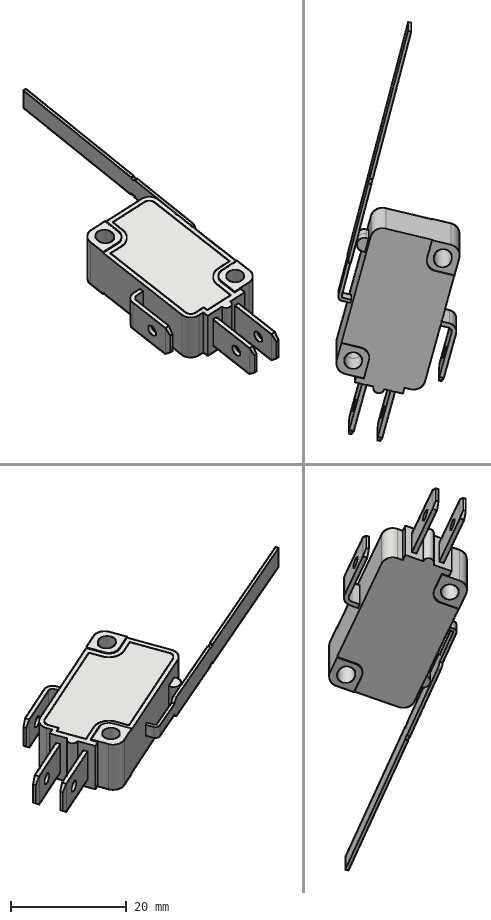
import cadquery as cq
import math


body_length = 27.8
body_width = 15.8
body_height = 10.3
body_corner_radius = 2.1

hole_diameter = 3.1
hole_inset = 2.8
slot_extra_length = 0.3
pad_size = 5.4
pad_corner_radius = 1.95
pad_rise = 0.2

rim_width = 0.9
panel_depth = 0.1
panel_corner_radius = body_corner_radius - rim_width
panel_opening_start = 4.05

flange_start = 3.15
flange_end = 11.8
flange_thickness = 1.1
rib_radius = 1.0

blade_thickness = 0.8
blade_width = 6.4
blade_tip_length = 1.1
blade_tip_side_cut = 1.1
blade_tip_bevel = 0.15
blade_hole_diameter = 2.0
blade_hole_from_tip = 4.6
end_blade_tip = 39.5
end_blade_centers = (4.8, 9.9)
common_blade_tip = 26.1
common_leg_start = 14.9
common_blade_drop = 3.15
common_bend_radius = 1.65
embed = 0.75

lever_tip = end_blade_tip - 74.95
lever_tip_top = 18.8
lever_slope = math.radians(0.75)
lever_thickness = 0.6
lever_width = 4.3
lever_leg_outside = 16.3
lever_bend_radius = 0.8
lever_notch_x = -6.75
lever_notch_length = 0.9
lever_notch_depth = 0.2
lever_shoulder_x = 9.1
lever_shoulder_radius = 0.9
lever_neck_width = 2.5

plunger_x = 4.9
plunger_radius = 1.3
plunger_top = 17.55

step_height = body_height - 2 * pad_rise


def slab(sketch, height):
    """Extrude an XY outline symmetrically about the mid plane."""
    return sketch.extrude(height / 2, both=True)


def box_between(x0, x1, y0, y1, height):
    """Box over an XY range, centred on the mid plane."""
    return slab(cq.Workplane("XY").center((x0 + x1) / 2, (y0 + y1) / 2).rect(x1 - x0, y1 - y0), height)


def corner_areas(size, corner_radius, height):
    """Square areas in the two mounting-hole corners, rounded toward the middle."""
    low = box_between(0, size, 0, size, height)
    low = low.edges("|Z and >X and >Y").fillet(corner_radius)
    high = box_between(body_length - size, body_length, body_width - size, body_width, height)
    high = high.edges("|Z and <X and <Y").fillet(corner_radius)
    return low.union(high)


def make_panel():
    """Cutter for the label panel, open toward the terminal flange."""
    panel = box_between(
        rim_width, body_length - rim_width, rim_width, body_width - rim_width, body_height
    )
    panel = panel.edges("|Z").fillet(panel_corner_radius)
    opening = box_between(
        body_length / 2, body_length, panel_opening_start, body_width - pad_size - rim_width, body_height
    )
    margin = corner_areas(pad_size + rim_width, pad_corner_radius + rim_width, body_height)
    panel = panel.union(opening).cut(margin)
    return panel.translate((0, 0, step_height / 2 - panel_depth + body_height / 2))


def make_housing():
    """Housing with two raised corner pads on each large face."""
    outline = box_between(0, body_length, 0, body_width, body_height)
    outline = outline.edges("|Z").fillet(body_corner_radius)
    pads = outline.intersect(corner_areas(pad_size, pad_corner_radius, body_height))
    middle = outline.intersect(box_between(0, body_length, 0, body_width, step_height))
    return middle.union(pads).cut(make_panel())


def make_holes():
    """Round hole in one corner, slightly elongated one in the other."""
    round_hole = cq.Workplane("XY").center(body_length - hole_inset, body_width - hole_inset)
    round_hole = slab(round_hole.circle(hole_diameter / 2), body_height)
    slot = cq.Workplane("XY").center(hole_inset, hole_inset)
    slot = slab(slot.slot2D(hole_diameter + slot_extra_length, hole_diameter), body_height)
    return round_hole.union(slot)


def make_flange():
    """End flange with its rounded rib."""
    face_x = body_length + flange_thickness
    flange = box_between(body_length, face_x, flange_start, flange_end, step_height)
    rib = cq.Workplane("XY").center(face_x, (flange_start + flange_end) / 2).circle(rib_radius)
    return flange.union(slab(rib, step_height))


def blade(start_x, tip_x, center_y):
    """Straight terminal along +X with a tapered tip and a hole."""
    taper_x = tip_x - blade_tip_length
    half = blade_thickness / 2
    tip_half = half - blade_tip_bevel
    plan = (
        cq.Workplane("XY")
        .moveTo(start_x, center_y - half)
        .lineTo(taper_x, center_y - half)
        .lineTo(tip_x, center_y - tip_half)
        .lineTo(tip_x, center_y + tip_half)
        .lineTo(taper_x, center_y + half)
        .lineTo(start_x, center_y + half)
        .close()
    )
    half_width = blade_width / 2
    tip_half_width = half_width - blade_tip_side_cut
    side = (
        cq.Workplane("XZ", origin=(0, center_y, 0))
        .moveTo(start_x, -half_width)
        .lineTo(taper_x, -half_width)
        .lineTo(tip_x, -tip_half_width)
        .lineTo(tip_x, tip_half_width)
        .lineTo(taper_x, half_width)
        .lineTo(start_x, half_width)
        .close()
        .extrude(blade_thickness, both=True)
    )
    hole = (
        cq.Workplane("XZ", origin=(tip_x - blade_hole_from_tip, center_y, 0))
        .circle(blade_hole_diameter / 2)
        .extrude(blade_thickness, both=True)
    )
    return slab(plan, blade_width).intersect(side).cut(hole)


def make_common_terminal():
    """Terminal that leaves the -Y side and bends toward +X."""
    leg_end = common_leg_start + blade_thickness
    bend_end = common_leg_start + common_bend_radius
    blade_top = blade_thickness - common_blade_drop
    inner_radius = common_bend_radius - blade_thickness
    leg = (
        cq.Workplane("XY")
        .moveTo(common_leg_start, embed)
        .lineTo(common_leg_start, common_bend_radius - common_blade_drop)
        .radiusArc((bend_end, -common_blade_drop), -common_bend_radius)
        .lineTo(bend_end, blade_top)
        .radiusArc((leg_end, blade_top + inner_radius), inner_radius)
        .lineTo(leg_end, embed)
        .close()
    )
    straight = blade(bend_end, common_blade_tip, blade_thickness / 2 - common_blade_drop)
    return slab(leg, blade_width).union(straight)


def lever_outline():
    """Lever seen along Y: two small edge notches, then a narrower neck."""
    half = lever_width / 2
    length = lever_leg_outside - lever_tip
    wide = cq.Workplane("XZ").center((lever_tip + lever_shoulder_x) / 2, 0)
    wide = wide.rect(lever_shoulder_x - lever_tip, lever_width).extrude(-2 * body_width)
    wide = wide.edges("|Y and >X").fillet(lever_shoulder_radius)
    neck = cq.Workplane("XZ").center((lever_tip + lever_leg_outside) / 2, 0)
    neck = neck.rect(length, lever_neck_width).extrude(-2 * body_width)
    notches = (
        cq.Workplane("XZ")
        .pushPoints([(lever_notch_x, half), (lever_notch_x, -half)])
        .rect(lever_notch_length, 2 * lever_notch_depth)
        .extrude(-2 * body_width)
    )
    return wide.union(neck).cut(notches)


def make_lever():
    """Sloping strip bent down into the +Y side of the housing."""
    slope = math.tan(lever_slope)
    leg_inside = lever_leg_outside - lever_thickness
    corner_top = lever_tip_top - slope * (lever_leg_outside - lever_tip)
    inner_top = lever_tip_top - slope * (leg_inside - lever_tip) - lever_thickness
    strip = (
        cq.Workplane("XY")
        .moveTo(lever_tip, lever_tip_top)
        .lineTo(lever_leg_outside, corner_top)
        .lineTo(lever_leg_outside, body_width - embed)
        .lineTo(leg_inside, body_width - embed)
        .lineTo(leg_inside, inner_top)
        .lineTo(lever_tip, lever_tip_top - lever_thickness)
        .close()
    )
    strip = slab(strip, lever_width)
    outer_corner = cq.selectors.NearestToPointSelector((lever_leg_outside, corner_top, 0))
    inner_corner = cq.selectors.NearestToPointSelector((leg_inside, inner_top, 0))
    strip = strip.edges(outer_corner).fillet(lever_bend_radius)
    strip = strip.edges(inner_corner).fillet(lever_bend_radius - lever_thickness)
    return strip.intersect(lever_outline())


def make_plunger():
    """Round-topped plunger under the lever."""
    center_y = plunger_top - plunger_radius
    stem = box_between(
        plunger_x - plunger_radius, plunger_x + plunger_radius, body_width - embed, center_y, lever_width
    )
    head = cq.Workplane("XY").center(plunger_x, center_y).circle(plunger_radius)
    return stem.union(slab(head, lever_width))


result = make_housing().cut(make_holes()).union(make_flange())
for blade_y in end_blade_centers:
    result = result.union(blade(body_length, end_blade_tip, blade_y))
result = result.union(make_common_terminal()).union(make_plunger()).union(make_lever())